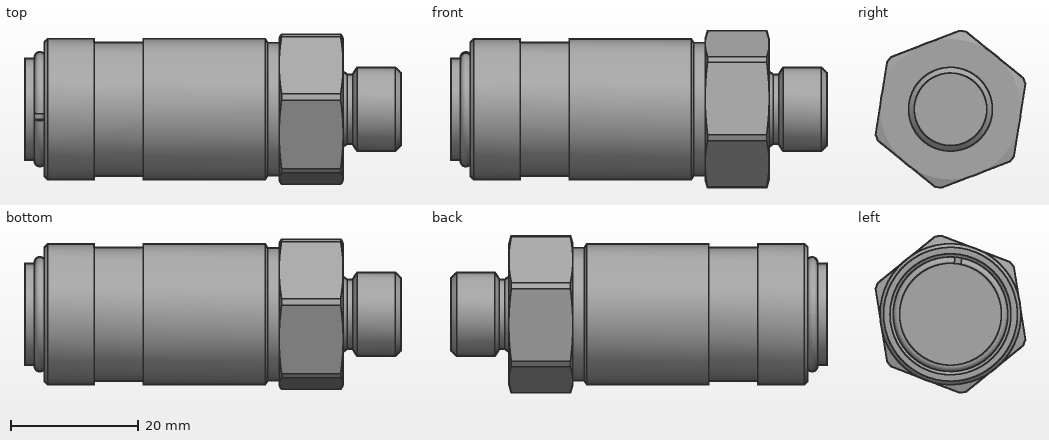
import cadquery as cq
import math

total_length = 59.0

plug_diameter = 16.0

ring_outer_diameter = 18.0
ring_inner_diameter = 14.6
ring_front_x = 1.5
ring_gap_width = 1.05
ring_gap_angle = 8.0

wire_diameter = (ring_outer_diameter - ring_inner_diameter) / 2
ring_mean_radius = (ring_outer_diameter + ring_inner_diameter) / 4
ring_center_x = ring_front_x + wire_diameter / 2

sleeve_diameter = 22.1
sleeve_face_diameter = 21.0
sleeve_face_x = 3.0
sleeve_front_chamfer = (sleeve_diameter - sleeve_face_diameter) / 2
sleeve_end_x = 38.05
sleeve_end_chamfer_length = 0.35
mouth_diameter = 19.0
bore_diameter = 18.0
bore_floor_x = 5.0
band_diameter = 21.0
band_start_x = 10.85
band_end_x = 18.5

neck_diameter = 20.9
hex_start_x = 39.9
hex_end_x = 49.9
hex_across_flats = 22.0
hex_corner_diameter = 24.85
hex_tilt = 9.0
hex_face_diameter = 22.0
hex_chamfer_angle = 15.0

thread_diameter = 13.15
thread_start_x = 52.1
thread_chamfer = 0.9
undercut_diameter = 11.0
undercut_start_x = 50.55
undercut_end_x = 51.4
undercut_root_diameter = 11.8


def revolve_profile(profile):
    """Turn a closed profile, drawn with radius along Y, around the X axis."""
    return profile.revolve(360, (0, 0, 0), (1, 0, 0))


def make_full_ring():
    """Closed torus of the snap-ring wire."""
    wire = cq.Workplane("XY").moveTo(ring_center_x, ring_mean_radius).circle(wire_diameter / 2)
    return revolve_profile(wire)


def make_turned_body():
    """Plug, sleeve, neck and connection stub as one turned shape."""
    outline = cq.Workplane("XY").polyline([
        (0, 0),
        (0, plug_diameter / 2),
        (sleeve_face_x, plug_diameter / 2),
        (sleeve_face_x, sleeve_face_diameter / 2),
        (sleeve_face_x + sleeve_front_chamfer, sleeve_diameter / 2),
        (band_start_x, sleeve_diameter / 2),
        (band_start_x, band_diameter / 2),
        (band_end_x, band_diameter / 2),
        (band_end_x, sleeve_diameter / 2),
        (sleeve_end_x - sleeve_end_chamfer_length, sleeve_diameter / 2),
        (sleeve_end_x, neck_diameter / 2),
        (hex_end_x, neck_diameter / 2),
        (hex_end_x, undercut_root_diameter / 2),
        (undercut_start_x, undercut_diameter / 2),
        (undercut_end_x, undercut_diameter / 2),
        (thread_start_x, thread_diameter / 2),
        (total_length - thread_chamfer, thread_diameter / 2),
        (total_length, thread_diameter / 2 - thread_chamfer),
        (total_length, 0),
    ])
    return revolve_profile(outline.close())


def make_mouth_cutter():
    """Annular recess around the plug, its mouth narrowing to the bore over a concave fillet."""
    fillet_radius = (mouth_diameter - bore_diameter) / 2
    fillet_middle = (
        sleeve_face_x + fillet_radius * math.sin(math.radians(45)),
        bore_diameter / 2 + fillet_radius * math.cos(math.radians(45)),
    )
    fillet_end = (sleeve_face_x + fillet_radius, bore_diameter / 2)
    profile = (
        cq.Workplane("XY")
        .moveTo(sleeve_face_x, plug_diameter / 2)
        .lineTo(sleeve_face_x, mouth_diameter / 2)
        .threePointArc(fillet_middle, fillet_end)
        .lineTo(bore_floor_x, bore_diameter / 2)
        .lineTo(bore_floor_x, plug_diameter / 2)
        .close()
    )
    return revolve_profile(profile)


def make_hexagon():
    """Hexagon with turned corners and conical chamfers on both ends."""
    sharp_corner_diameter = hex_across_flats / math.cos(math.radians(30))
    prism = (
        cq.Workplane("YZ", origin=(hex_start_x, 0, 0))
        .polygon(6, sharp_corner_diameter)
        .extrude(hex_end_x - hex_start_x)
        .rotate((0, 0, 0), (1, 0, 0), 30 - hex_tilt)
    )
    chamfer_height = (hex_corner_diameter - hex_face_diameter) / 2
    chamfer_length = chamfer_height * math.tan(math.radians(hex_chamfer_angle))
    envelope = cq.Workplane("XY").polyline([
        (hex_start_x, 0),
        (hex_start_x, hex_face_diameter / 2),
        (hex_start_x + chamfer_length, hex_corner_diameter / 2),
        (hex_end_x - chamfer_length, hex_corner_diameter / 2),
        (hex_end_x, hex_face_diameter / 2),
        (hex_end_x, 0),
    ])
    return prism.intersect(revolve_profile(envelope.close()))


def make_housing():
    """Turned body and hexagon, with the mouth recess and the ring groove."""
    blank = make_turned_body().union(make_hexagon())
    return blank.cut(make_mouth_cutter()).cut(make_full_ring())


def make_snap_ring():
    """Wire ring opened by a narrow gap near the top."""
    gap_cutter = (
        cq.Workplane("XY")
        .box(2 * wire_diameter, ring_gap_width, 2 * wire_diameter)
        .translate((ring_center_x, 0, ring_mean_radius))
        .rotate((0, 0, 0), (1, 0, 0), ring_gap_angle)
    )
    return make_full_ring().cut(gap_cutter)


housing = make_housing()
snap_ring = make_snap_ring()

result = cq.Compound.makeCompound([housing.val(), snap_ring.val()])